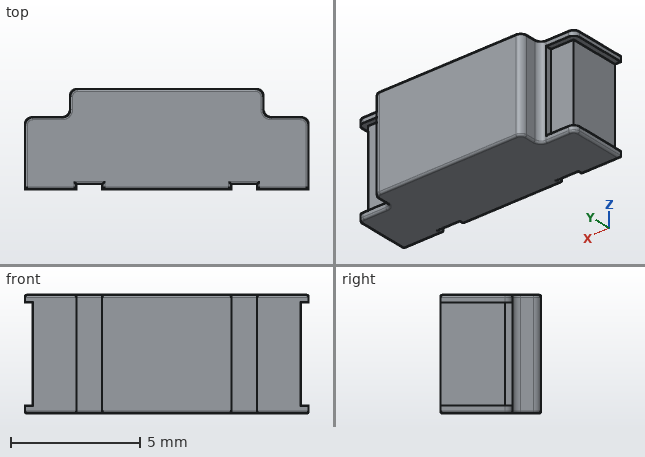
import cadquery as cq

LENGTH = 11.0
DEPTH = 3.9
HEIGHT = 4.6

SHOULDER_LENGTH = 1.75
SHOULDER_DEPTH = 1.1
CORNER_RADIUS = 0.3

GROOVE_WIDTH = 1.0
GROOVE_DEPTH = 0.2
GROOVE_END_DISTANCE = 2.0

RECESS_DEPTH = 0.3
FLANGE_THICKNESS = 0.3

EDGE_RADIUS = 0.1

HALF_LENGTH = LENGTH / 2
HALF_DEPTH = DEPTH / 2
SIDES = (-1, 1)


def stepped_block():
    """T-shaped block with its back corners and inner step corners rounded."""
    wide_depth = DEPTH - SHOULDER_DEPTH
    wide = cq.Workplane("XY").box(LENGTH, wide_depth, HEIGHT)
    wide = wide.translate((0, -SHOULDER_DEPTH / 2, 0))
    full = cq.Workplane("XY").box(LENGTH - 2 * SHOULDER_LENGTH, DEPTH, HEIGHT)
    block = wide.union(full)
    return block.edges("|Z").edges("not <Y").fillet(CORNER_RADIUS)


def front_groove(side):
    """Cutter for the full-height groove on one side of the front face."""
    center_x = side * (HALF_LENGTH - GROOVE_END_DISTANCE - GROOVE_WIDTH / 2)
    cutter = cq.Workplane("XY").box(GROOVE_WIDTH, 2 * GROOVE_DEPTH, HEIGHT)
    return cutter.translate((center_x, -HALF_DEPTH, 0))


def end_recess(side):
    """L-shaped cutter between the flanges: across one end and along the flat of its shoulder."""
    gap = HEIGHT - 2 * FLANGE_THICKNESS
    end_leg = cq.Workplane("XY").box(2 * RECESS_DEPTH, DEPTH, gap)
    end_leg = end_leg.translate((side * HALF_LENGTH, 0, 0))
    shoulder_flat = SHOULDER_LENGTH - CORNER_RADIUS
    shoulder_leg = cq.Workplane("XY").box(shoulder_flat, 2 * RECESS_DEPTH, gap)
    shoulder_x = side * (HALF_LENGTH - shoulder_flat / 2)
    shoulder_leg = shoulder_leg.translate((shoulder_x, HALF_DEPTH - SHOULDER_DEPTH, 0))
    return end_leg.union(shoulder_leg)


body = stepped_block()
for side in SIDES:
    body = body.cut(front_groove(side))

body = body.faces("<Z or >Z").edges().fillet(EDGE_RADIUS)

for side in SIDES:
    body = body.cut(end_recess(side))

result = body